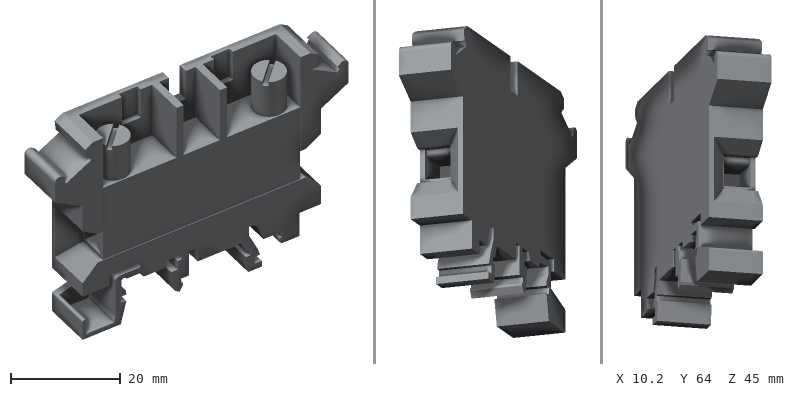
import cadquery as cq
import math


width = 10.2
height = 45.0
half_length = 32.0
body_half = 26.0
root_z = 10.4
end_foot_z = 10.05
rib_z = 8.9
pad_z = 7.3
latch_neck_top = 4.85
latch_neck_bottom = 3.7

shoulder_z = 31.1
wing_bottom_z = 34.55
lip_radius = 1.0
lip_center_z = 39.05
lip_slope = math.radians(35)

slot_half = 1.85
slot_floor_z = 38.45
wall = 2.05
recess_wall = 0.95
center_pocket_half = 4.0
pocket_inner = 5.5
pocket_outer = 21.5
pocket_floor_z = 33.3
recess_inner = 8.0
recess_outer = 12.1
recess_floor_z = slot_floor_z
side_setback = 0.1

funnel_depth = 3.3
funnel_mouth = (0.95, 13.1, 25.3)
funnel_throat = (3.65, 16.6, 23.2)
clamp_left = 4.1
clamp_right = 9.1
clamp_floor_z = 17.4
clamp_depth = 7.7
plate_z = 21.9
plate_setback = 0.65
plate_radius = 0.8

screw_x = 6.5
screw_y = 17.0
screw_radius = 3.25
screw_top_z = 41.35
drive_slot_width = 1.1
drive_slot_depth = 0.95
drive_slot_angle = -45

arm_y = -18.8
arm_top_z = 11.4
arm_radius = 0.8
foot_top_z = 6.4
foot_corner_z = 4.35
foot_lip_radius = 0.45
foot_wall = 1.55
foot_floor_z = 1.0
hollow_slant_z = 2.2
hollow_slant_run = 0.3
hollow_top_z = 7.7

clearance = 0.65


def across(outline):
    """Extrude a closed Y-Z outline over the full width."""
    return outline.close().extrude(width)


def prism(points):
    return across(cq.Workplane("YZ").polyline(points))


def box(x_range, y_range, z_range):
    size = [high - low for low, high in (x_range, y_range, z_range)]
    corner = (x_range[0], y_range[0], z_range[0])
    return cq.Workplane("XY").box(*size, centered=False).translate(corner)


def both_ends(shape):
    return shape.union(shape.mirror("XZ"))


def round_point(center, radius, angle):
    return (center[0] + radius * math.cos(angle), center[1] + radius * math.sin(angle))


def make_body():
    """Main body with the label holders, symmetric about Y = 0."""
    lip_center = (half_length - lip_radius, lip_center_z)
    lip_start = math.pi / 2 + lip_slope
    half = (
        cq.Workplane("YZ")
        .moveTo(0, root_z)
        .lineTo(0, height)
        .lineTo(23.7, height)
        .lineTo(25.4, 44.0)
        .lineTo(25.15, 41.85)
        .lineTo(24.7, 41.85)
        .lineTo(24.05, 41.0)
        .lineTo(29.6, 37.95)
        .lineTo(30.0, 38.65)
        .lineTo(29.6, 39.3)
        .lineTo(*round_point(lip_center, lip_radius, lip_start))
        .threePointArc(
            round_point(lip_center, lip_radius, lip_start / 2),
            round_point(lip_center, lip_radius, 0),
        )
        .lineTo(half_length, wing_bottom_z)
        .lineTo(body_half, shoulder_z)
        .lineTo(body_half, root_z)
    )
    return both_ends(across(half))


def make_fixed_foot():
    """Hooked foot on the +Y side and the body end above it."""
    outline = (
        cq.Workplane("YZ")
        .moveTo(10.9, root_z)
        .threePointArc((12.0, 9.85), (12.55, 8.8))
        .lineTo(13.45, 6.2)
        .lineTo(17.5, 6.2)
        .lineTo(17.5, latch_neck_top)
        .lineTo(16.9, latch_neck_top)
        .lineTo(16.9, 4.0)
        .lineTo(17.5, 3.5)
        .lineTo(21.3, 3.5)
        .lineTo(21.3, rib_z)
        .lineTo(body_half, rib_z)
        .lineTo(body_half, root_z)
    )
    return across(outline)


def make_center_latch():
    """Centre pad with the slanted latch leg at its +Y end."""
    return prism([
        (-0.9, root_z), (-0.9, pad_z), (8.7, pad_z),
        (9.6, latch_neck_top), (10.55, latch_neck_top),
        (10.55, latch_neck_bottom), (9.6, latch_neck_bottom),
        (10.1, 0), (13.05, 0), (13.05, 1.35), (11.5, 1.35), (11.5, 2.95), (12.7, 2.95),
        (12.15, 4.55), (10.3, 8.4), (10.3, root_z),
    ])


def make_arrow_latch():
    """Small arrow-tipped leg just on the -Y side of the centre pad."""
    outline = (
        cq.Workplane("YZ")
        .moveTo(-2.75, root_z)
        .lineTo(-2.75, latch_neck_top)
        .lineTo(-4.55, latch_neck_top)
        .lineTo(-4.55, latch_neck_bottom)
        .lineTo(-4.1, latch_neck_bottom)
        .lineTo(-4.1, 3.2)
        .lineTo(-4.85, 1.9)
        .lineTo(-5.8, 2.6)
        .lineTo(-6.1, 3.15)
        .lineTo(-6.65, pad_z)
        .lineTo(-5.25, pad_z)
        .lineTo(-5.25, 9.3)
        .lineTo(-4.75, 9.3)
        .threePointArc((-4.5, 9.4), (-4.35, 9.65))
        .lineTo(-4.35, root_z)
    )
    return across(outline)


def make_rib():
    """Shallow rib under the body, running on as the root of the spring arm."""
    return prism([
        (-7.3, root_z), (-8.2, rib_z), (-12.7, rib_z), (-13.25, end_foot_z),
        (-16.45, end_foot_z), (-16.6, root_z),
    ])


def make_spring_gap():
    """Gap that separates the spring arm from the body."""
    gap_outer = -20.15
    arm_center = (arm_y + arm_radius, arm_top_z - arm_radius)
    outline = (
        cq.Workplane("YZ")
        .moveTo(gap_outer, end_foot_z)
        .lineTo(gap_outer, 12.35)
        .lineTo(-13.6, 12.35)
        .threePointArc((-13.4, 11.9), (-13.9, arm_top_z))
        .lineTo(arm_center[0], arm_top_z)
        .threePointArc(
            round_point(arm_center, arm_radius, math.radians(135)),
            (arm_y, arm_center[1]),
        )
        .lineTo(arm_y, end_foot_z)
    )
    return across(outline)


def make_spring_foot():
    """Lower spring arm and the release foot, hollowed from above."""
    foot = prism([
        (arm_y, root_z), (arm_y, foot_top_z), (-body_half, foot_corner_z), (-body_half, 0),
        (-17.65, 0), (-16.45, 4.85), (-17.6, 5.05), (-17.85, 6.4), (-16.45, 6.4),
        (-16.5, 7.2), (-17.5, 8.8), (-17.5, 10.25), (-17.1, root_z),
    ])
    corner = cq.NearestToPointSelector((width / 2, -body_half, foot_corner_z))
    foot = foot.edges(corner).fillet(foot_lip_radius)

    hollow = prism([
        (-body_half, hollow_top_z), (-body_half, foot_floor_z),
        (arm_y - hollow_slant_run, foot_floor_z), (arm_y, hollow_slant_z), (arm_y, hollow_top_z),
    ])
    foot = foot.cut(hollow.translate((foot_wall, 0, 0)))

    slope = math.atan2(foot_top_z - foot_corner_z, arm_y + body_half)
    drop = foot_lip_radius * math.tan((math.pi / 2 - slope) / 2)
    crest_z = foot_corner_z - drop
    lip_inner = -body_half + 2 * foot_lip_radius
    lip = (
        cq.Workplane("YZ", origin=(foot_wall, 0, 0))
        .moveTo(-body_half, foot_floor_z)
        .lineTo(-body_half, crest_z)
        .threePointArc(
            (-body_half + foot_lip_radius, crest_z + foot_lip_radius),
            (lip_inner, crest_z),
        )
        .lineTo(lip_inner, foot_floor_z)
        .close()
        .extrude(width - foot_wall)
    )
    return foot.union(lip)


def make_top_cuts():
    """Centre slot, the three pockets and the marker recesses."""
    depth = (pocket_floor_z, height + clearance)
    pocket_x = (wall, width + clearance)
    slot = box((0, wall), (-slot_half, slot_half), (slot_floor_z, height + clearance))
    center_pocket = box(pocket_x, (-center_pocket_half, center_pocket_half), depth)
    pocket = box(pocket_x, (pocket_inner, pocket_outer), depth)
    recess = box((recess_wall, wall), (recess_inner, recess_outer), (recess_floor_z, height))
    return both_ends(pocket.union(recess)).union(center_pocket).union(slot)


def make_side_cut():
    """Shallow step on the open +X side, from the wire entries up to the pockets."""
    return box(
        (width - side_setback, width + clearance),
        (-pocket_outer, pocket_outer),
        (funnel_throat[1], pocket_floor_z),
    )


def make_wire_entries():
    """Tapered funnels, straight throats and clamp openings at both ends."""
    open_x = width + clearance

    def opening(y, left, bottom, top):
        corners = [(left, bottom), (open_x, bottom), (open_x, top), (left, top)]
        points = [cq.Vector(x, y, z) for x, z in corners]
        return cq.Wire.makePolygon(points, close=True)

    throat_y = body_half - funnel_depth
    mouth = opening(body_half, *funnel_mouth)
    funnel_end = opening(throat_y, *funnel_throat)
    funnel = cq.Workplane(cq.Solid.makeLoft([mouth, funnel_end], True))
    throat_left, throat_bottom, throat_top = funnel_throat
    throat = box((throat_left, open_x), (pocket_outer, throat_y), (throat_bottom, throat_top))

    clamp_end = pocket_outer - clamp_depth
    plate_y = pocket_outer - plate_setback
    round_center = (plate_y - plate_radius, plate_z + plate_radius)
    clamp = (
        cq.Workplane("YZ", origin=(clamp_left, 0, 0))
        .moveTo(pocket_outer, clamp_floor_z)
        .lineTo(clamp_end, clamp_floor_z)
        .lineTo(clamp_end, plate_z)
        .lineTo(round_center[0], plate_z)
        .threePointArc(
            round_point(round_center, plate_radius, -math.pi / 4),
            (plate_y, round_center[1]),
        )
        .lineTo(plate_y, throat_top)
        .lineTo(pocket_outer, throat_top)
        .close()
        .extrude(clamp_right - clamp_left)
    )
    return both_ends(funnel.union(throat).union(clamp))


def make_screw(y):
    """Slotted screw head standing on the pocket floor."""
    head = cq.Workplane("XY").circle(screw_radius).extrude(screw_top_z - pocket_floor_z)
    drive_slot = (
        cq.Workplane("XY")
        .rect(2 * screw_radius + clearance, drive_slot_width)
        .extrude(drive_slot_depth)
        .rotate((0, 0, 0), (0, 0, 1), drive_slot_angle)
        .translate((0, 0, screw_top_z - pocket_floor_z - drive_slot_depth))
    )
    return head.cut(drive_slot).translate((screw_x, y, pocket_floor_z))


result = make_body()
result = result.union(box((0, width), (-body_half, arm_y), (end_foot_z, root_z)))
result = result.cut(make_spring_gap())
for foot in (
    make_fixed_foot(),
    make_center_latch(),
    make_arrow_latch(),
    make_rib(),
    make_spring_foot(),
):
    result = result.union(foot)
result = result.cut(make_top_cuts()).cut(make_side_cut()).cut(make_wire_entries())
for side in (-1, 1):
    result = result.union(make_screw(side * screw_y))
result = result.clean()